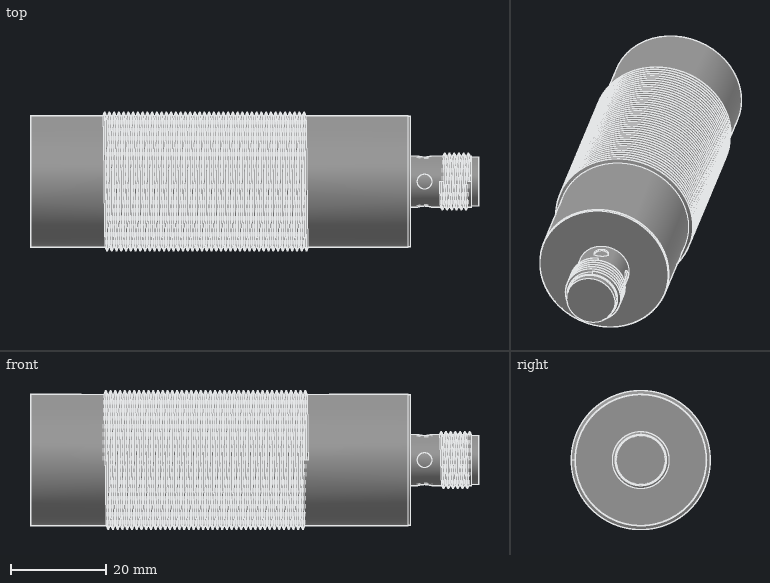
import cadquery as cq

total_length = 94.3
barrel_length = 80.0
barrel_radius = 13.9
rear_rim_length = 0.6
rear_rim_radius = 13.8

barrel_thread_start = 15.6
barrel_thread_pitch = 1.0
barrel_thread_turns = 42.5
barrel_crest_radius = 14.66

stub_radius = 5.42
stub_tip_radius = 5.2
stub_tip_length = 1.5
stub_thread_start = 86.4
stub_thread_pitch = 1.0
stub_thread_turns = 6.0
stub_crest_radius = 5.99

window_radius = 1.56
window_x = 82.9
window_floor_radius = 5.1
window_count = 4

crest_share = 0.12
base_share = 0.85
root_overlap = 0.1


def cylinder_x(start, end, radius):
    """Solid cylinder along X between two stations."""
    return cq.Workplane("YZ", origin=(start, 0, 0)).circle(radius).extrude(end - start)


def thread_ridge(start, pitch, turns, core_radius, crest_radius, start_angle):
    """Right-handed helical ridge along X, centred on its start station."""
    root_radius = core_radius - root_overlap
    half_base = base_share * pitch / 2
    half_crest = crest_share * pitch / 2
    helix = cq.Wire.makeHelix(pitch, pitch * turns, root_radius)
    ridge = (
        cq.Workplane("XZ")
        .polyline([
            (root_radius, -half_base),
            (crest_radius, -half_crest),
            (crest_radius, half_crest),
            (root_radius, half_base),
        ])
        .close()
        .sweep(cq.Workplane(obj=helix), isFrenet=True)
    )
    return (
        ridge.rotate((0, 0, 0), (0, 0, 1), start_angle)
        .rotate((0, 0, 0), (0, 1, 0), 90)
        .translate((start, 0, 0))
    )


rear_rim_start = barrel_length - rear_rim_length
barrel = cylinder_x(0, rear_rim_start, barrel_radius)
rear_rim = cylinder_x(rear_rim_start, barrel_length, rear_rim_radius)

tip_start = total_length - stub_tip_length
stub = cylinder_x(barrel_length, tip_start, stub_radius)
tip = cylinder_x(tip_start, total_length, stub_tip_radius)
core = barrel.union(rear_rim).union(stub).union(tip)

window = (
    cq.Workplane("XY", origin=(window_x, 0, 0))
    .circle(window_radius)
    .extrude(stub_radius)
    .cut(cylinder_x(barrel_length, tip_start, window_floor_radius))
)
for index in range(window_count):
    core = core.cut(window.rotate((0, 0, 0), (1, 0, 0), index * 360 / window_count))

barrel_thread = thread_ridge(
    barrel_thread_start, barrel_thread_pitch, barrel_thread_turns,
    barrel_radius, barrel_crest_radius, 90,
)
stub_thread = thread_ridge(
    stub_thread_start, stub_thread_pitch, stub_thread_turns,
    stub_radius, stub_crest_radius, 180,
)
result = core.union(barrel_thread).union(stub_thread)